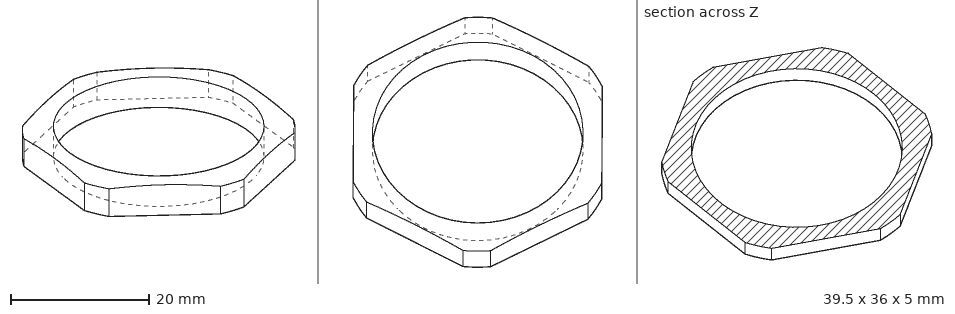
import cadquery as cq
import math

across_corners = 39.5
across_flats = 36.0
thickness = 5.0
bore_diameter = 30.5
bevel_angle = 15.0

corner_radius = across_corners / 2
flat_radius = across_flats / 2
sharp_across_corners = across_flats / math.cos(math.pi / 6)
bevel_drop = (corner_radius - flat_radius) * math.tan(math.radians(bevel_angle))

hexagon = cq.Workplane("XY").polygon(6, sharp_across_corners).extrude(thickness)

envelope = (
    cq.Workplane("XZ")
    .moveTo(0, 0)
    .lineTo(corner_radius, 0)
    .lineTo(corner_radius, thickness - bevel_drop)
    .lineTo(flat_radius, thickness)
    .lineTo(0, thickness)
    .close()
    .revolve(360, (0, 0, 0), (0, 1, 0))
)

bore = cq.Workplane("XY").circle(bore_diameter / 2).extrude(thickness)

result = hexagon.intersect(envelope).cut(bore)